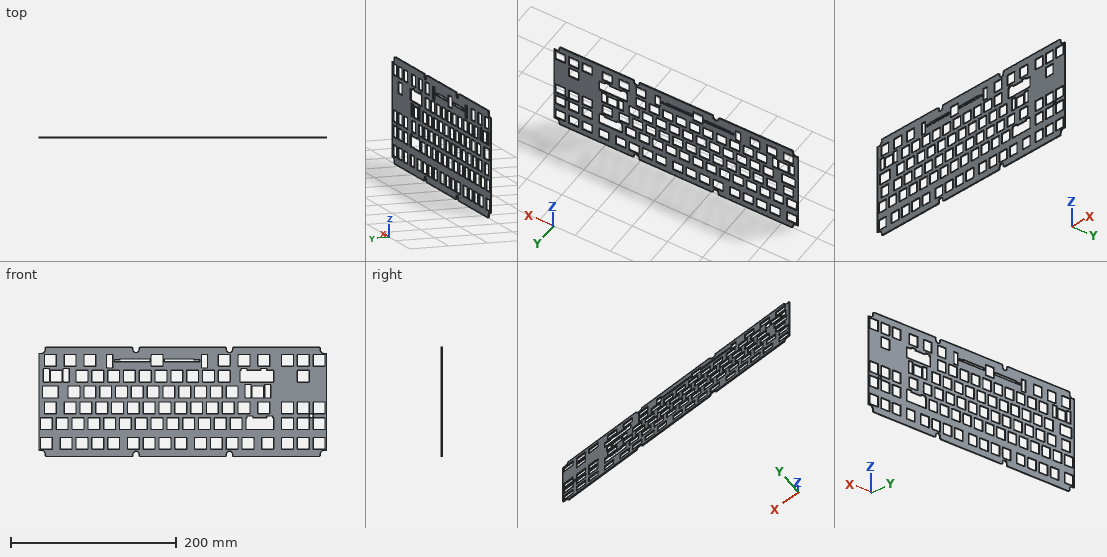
import cadquery as cq

UNIT = 19.05
COLUMN_SPAN = 17.25 * UNIT
ROW_SPAN = 5.25 * UNIT
SWITCH = 14.0
CORNER_RADIUS = 0.5

THICKNESS = 1.5
SIDE_MARGIN = 2.0
END_MARGIN = 9.0
WIDTH = COLUMN_SPAN + SWITCH + 2 * SIDE_MARGIN
HEIGHT = ROW_SPAN + SWITCH + 2 * END_MARGIN

NOTCH_RADIUS = 3.65
NOTCH_DEPTH = 6.5
NOTCH_OFFSET = 56.3
CORNER_NOTCH = 7.5
CORNER_NOTCH_RADIUS = 4.5
NOTCH_LIP_RADIUS = 2.0

STAB_WIDTH = 7.0
STAB_NEAR = SWITCH / 2
STAB_FAR = 9.0
STAB_OFFSET = 11.9
SPACE_STAB_OFFSET = 3 * UNIT

WIRE_START = 8.8
WIRE_STEP = 44.8
WIRE_END = 51.2
WIRE_HALF_HEIGHT = 1.5
WIRE_STEP_DROP = 1.0

RESET_DIAMETER = 4.8
RESET_COLUMN = 16.75
RESET_ROW = 3.5

SPACE_ROW, SHIFT_ROW, CAPS_ROW, TAB_ROW, NUMBER_ROW, FUNCTION_ROW = 0, 1, 2, 3, 4, 5.25
SPACE_COLUMN = 7
LEFT_SHIFT_COLUMN = 0.625
ENTER_COLUMN = 13.375
CAPS_LOCK_COLUMNS = (0.125, 0.375)
RIGHT_SHIFT_COLUMN = 13.125
SPLIT_SHIFT_COLUMNS = (12.625, 14)
BACKSPACE_COLUMN = 13.5
SPLIT_BACKSPACE_COLUMNS = (13, 14)
NAVIGATION = [15.25, 16.25, 17.25]


def run(first, count):
    """Columns of `count` neighbouring one-unit keys."""
    return [first + i for i in range(count)]


SWITCH_ROWS = {
    SPACE_ROW: [0.25, 1.5, 2.75, SPACE_COLUMN, 11.25, 12.5, 13.75] + NAVIGATION,
    SHIFT_ROW: [LEFT_SHIFT_COLUMN] + run(2.25, 10) + [16.25],
    CAPS_ROW: run(1.75, 11) + [ENTER_COLUMN],
    TAB_ROW: [0.25] + run(1.5, 12) + [13.75] + NAVIGATION,
    NUMBER_ROW: run(0, 13) + NAVIGATION,
    FUNCTION_ROW: [0] + run(1.25, 4) + run(5.5, 4) + run(9.75, 4) + [14] + NAVIGATION,
}


def column_x(column):
    return column * UNIT - COLUMN_SPAN / 2


def row_z(row):
    return ROW_SPAN / 2 - row * UNIT


def through(outline):
    """Solid of an XZ outline, spanning the plate thickness."""
    return outline.extrude(THICKNESS / 2, both=True)


def block(x_min, x_max, z_min, z_max):
    outline = cq.Workplane("XZ").center((x_min + x_max) / 2, (z_min + z_max) / 2)
    return through(outline.rect(x_max - x_min, z_max - z_min))


def rounded(cutter):
    return cutter.edges("|Y").fillet(CORNER_RADIUS)


def switch_hole(row, first_column, last_column):
    """Cutout for one switch that may sit anywhere between two columns."""
    half = SWITCH / 2
    z = row_z(row)
    return block(column_x(first_column) - half, column_x(last_column) + half, z - half, z + half)


def stabilizer(x, row, above, below):
    z = row_z(row)
    return block(x - STAB_WIDTH / 2, x + STAB_WIDTH / 2, z - below, z + above)


def stabilizer_pair(row, column, offset, above, below):
    left = stabilizer(column_x(column) - offset, row, above, below)
    right = stabilizer(column_x(column) + offset, row, above, below)
    return [left, right]


def merged_cutout(row, wide_column, first_column, last_column):
    """One opening for a wide stabilized key or two shorter keys in its place."""
    opening = switch_hole(row, first_column, last_column)
    for stab in stabilizer_pair(row, wide_column, STAB_OFFSET, STAB_FAR, STAB_NEAR):
        opening = opening.union(stab)
    return opening.clean()


def make_plate():
    plate = through(cq.Workplane("XZ").rect(WIDTH, HEIGHT))
    slot_height = 2 * NOTCH_DEPTH
    for z in (-HEIGHT / 2, HEIGHT / 2):
        for x in (-NOTCH_OFFSET, NOTCH_OFFSET):
            slot = cq.Workplane("XZ").center(x, z).slot2D(slot_height, 2 * NOTCH_RADIUS, 90)
            plate = plate.cut(through(slot))
        for x in (-WIDTH / 2, WIDTH / 2):
            square = through(cq.Workplane("XZ").center(x, z).rect(2 * CORNER_NOTCH, 2 * CORNER_NOTCH))
            plate = plate.cut(square.edges("|Y").fillet(CORNER_NOTCH_RADIUS))
    lips = plate.faces("<Z or >Z").edges("|Y")
    return lips.fillet(NOTCH_LIP_RADIUS)


def wire_slot(side):
    """Slot with a lower outer end; side is -1 left of the space switch, +1 right of it."""
    x = column_x(SPACE_COLUMN)
    bottom = row_z(SPACE_ROW) - WIRE_HALF_HEIGHT
    top = row_z(SPACE_ROW) + WIRE_HALF_HEIGHT
    low_top = top - WIRE_STEP_DROP
    outline = cq.Workplane("XZ").polyline([
        (x + side * WIRE_START, bottom),
        (x + side * WIRE_END, bottom),
        (x + side * WIRE_END, low_top),
        (x + side * WIRE_STEP, low_top),
        (x + side * WIRE_STEP, top),
        (x + side * WIRE_START, top),
    ])
    return through(outline.close())


def reset_hole():
    centre = cq.Workplane("XZ").center(column_x(RESET_COLUMN), row_z(RESET_ROW))
    return through(centre.circle(RESET_DIAMETER / 2))


cutters = []
for row, columns in SWITCH_ROWS.items():
    for column in columns:
        cutters.append(rounded(switch_hole(row, column, column)))

cutters.append(rounded(switch_hole(CAPS_ROW, *CAPS_LOCK_COLUMNS)))

cutters.append(rounded(merged_cutout(SHIFT_ROW, RIGHT_SHIFT_COLUMN, *SPLIT_SHIFT_COLUMNS)))
cutters.append(rounded(merged_cutout(NUMBER_ROW, BACKSPACE_COLUMN, *SPLIT_BACKSPACE_COLUMNS)))

stabilizers = stabilizer_pair(SHIFT_ROW, LEFT_SHIFT_COLUMN, STAB_OFFSET, STAB_FAR, STAB_NEAR)
stabilizers += stabilizer_pair(CAPS_ROW, ENTER_COLUMN, STAB_OFFSET, STAB_FAR, STAB_NEAR)
stabilizers += stabilizer_pair(SPACE_ROW, SPACE_COLUMN, SPACE_STAB_OFFSET, STAB_NEAR, STAB_FAR)
for stab in stabilizers:
    cutters.append(rounded(stab))

cutters += [wire_slot(-1), wire_slot(1), reset_hole()]

plate = make_plate().val()
result = cq.Workplane(plate.cut(*[cutter.val() for cutter in cutters]))